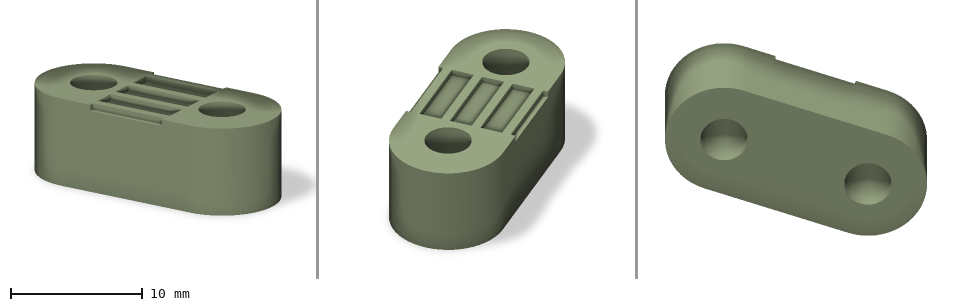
import cadquery as cq

hole_spacing = 11.6
body_width = 9.0
body_height = 7.0
body_length = hole_spacing + body_width
hole_diameter = 3.6

groove_length = 6.5
groove_width = 1.8
groove_pitch = 2.5
groove_depth = 0.5
groove_count = 5


def make_body():
    """Block with fully rounded ends."""
    return cq.Workplane("XY").slot2D(body_length, body_width).extrude(body_height)


def make_holes():
    """Two through holes, concentric with the rounded ends."""
    return (
        cq.Workplane("XY")
        .rarray(hole_spacing, 1, 2, 1)
        .circle(hole_diameter / 2)
        .extrude(body_height)
    )


def make_grooves():
    """Evenly spaced rectangular grooves sunk from the top face."""
    return (
        cq.Workplane("XY")
        .workplane(offset=body_height - groove_depth)
        .rarray(1, groove_pitch, 1, groove_count)
        .rect(groove_length, groove_width)
        .extrude(groove_depth)
    )


result = make_body().cut(make_holes()).cut(make_grooves())